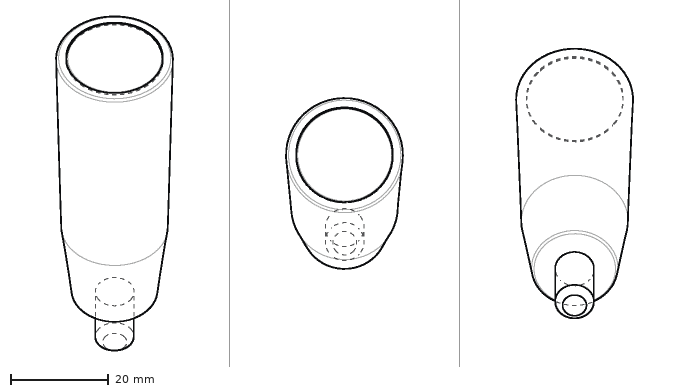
import cadquery as cq

total_length = 85.0
top_diameter = 24.1
seam_diameter = 22.0
base_diameter = 17.7
base_height = 15.05
seam_height = 34.5
edge_radius = 0.5

pin_diameter = 8.0
pin_chamfer = 1.5

cap_diameter = 19.8
cap_bore_diameter = 20.0
gap_depth = 0.5
cap_edge_radius = 0.21


def make_grip():
    """Solid of revolution: two tapers meeting at the seam, with rounded end edges."""
    outline = (
        cq.Workplane("XZ")
        .moveTo(0, base_height)
        .lineTo(base_diameter / 2, base_height)
        .lineTo(seam_diameter / 2, seam_height)
        .lineTo(top_diameter / 2, total_length)
        .lineTo(0, total_length)
        .close()
    )
    grip = outline.revolve(360, (0, 0, 0), (0, 1, 0))
    return grip.faces("<Z or >Z").edges().fillet(edge_radius)


def make_pin():
    """Cylindrical pin below the grip, chamfered at its free end."""
    pin = cq.Workplane("XY").circle(pin_diameter / 2).extrude(base_height)
    return pin.faces("<Z").edges().chamfer(pin_chamfer)


def make_cap_bore():
    """Shallow bore in the top face that receives the end cap."""
    return (
        cq.Workplane("XY")
        .workplane(offset=total_length - gap_depth)
        .circle(cap_bore_diameter / 2)
        .extrude(gap_depth)
    )


def make_cap():
    """Disc flush with the grip's top face, with a small rounded rim."""
    cap = (
        cq.Workplane("XY")
        .workplane(offset=total_length - gap_depth)
        .circle(cap_diameter / 2)
        .extrude(gap_depth)
    )
    return cap.faces(">Z").edges().fillet(cap_edge_radius)


result = make_grip().union(make_pin()).cut(make_cap_bore()).union(make_cap())